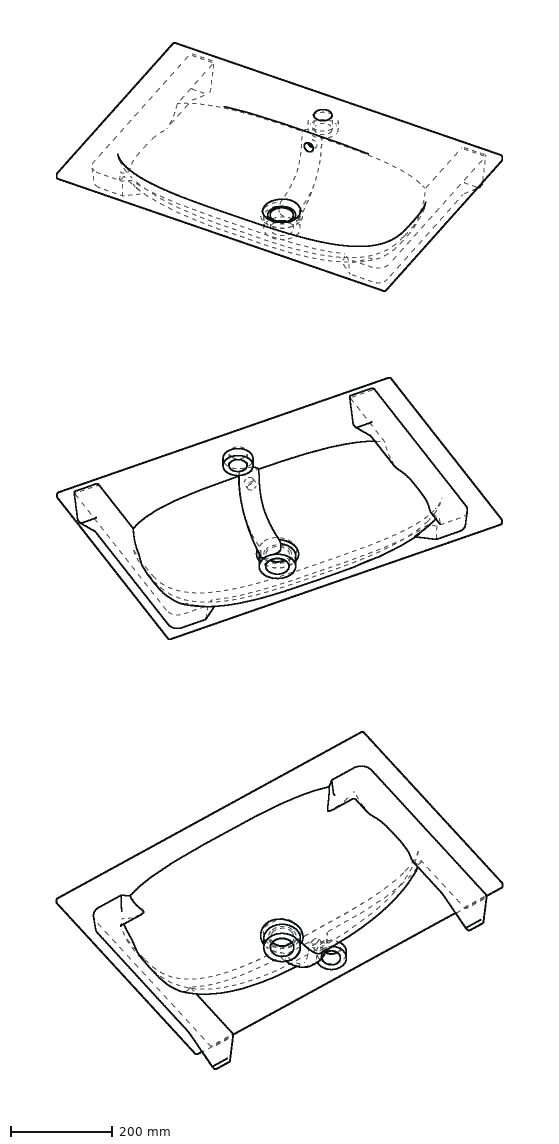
import cadquery as cq
import math


length = 743.0
width = 479.0
deck_thickness = 15.5
deck_corner_radius = 4.0
deck_top_fillet = 5.0
deck_bottom_fillet = 4.5
back_y = width / 2

height = 168.0
drain_y = 9.0
drain_hole_diameter = 46.0
drain_boss_diameter = 72.0
drain_flare = 4.5
drain_seat_diameter = 77.0
drain_seat_floor_diameter = 55.0
drain_seat_depth = 12.0
drain_seat_clearance = 2.0
tap_hole_y = 177.0
tap_hole_diameter = 36.0
tap_boss_diameter = 59.5
tap_boss_bottom_z = -34.0

bowl_depth = 135.0
bowl_side_reach = 327.0
bowl_front_reach = 203.5
bowl_back_reach = 121.0
bowl_wall = 10.0
rim_fillet = 4.5
rim_exponent = 3.2
floor_exponent = 2.0
front_exponent = 1.9
back_exponent = 3.0
bowl_section_count = 8
bowl_last_angle = 84.5
section_point_count = 32

skirt_half_length = 333.5
skirt_front_y = -181.0
skirt_wall = 54.0
skirt_front_wall = 41.0
skirt_corner_radius = 25.0
skirt_front_end_x = 255.0
skirt_front_end_run = 52.0
skirt_draft = 6.0
skirt_bottom_z = -58.0
skirt_edge_fillet = 4.5
foot_bottom_z = -93.5
foot_flat = 12.0
foot_slope_run = 73.0
foot_blend_radius = 30.0

duct_width = 44.5
duct_edge_fillet = 18.0
duct_top_y = 144.0
duct_middle_y = 113.0
duct_middle_z = -119.0
overflow_hole_diameter = 20.0
overflow_hole_z = -41.0
overflow_hole_depth = 22.0

margin = 1.0


def cylinder(diameter, y, bottom_z, top_z):
    return cq.Workplane("XY", origin=(0, y, bottom_z)).circle(diameter / 2).extrude(top_z - bottom_z)


def make_deck():
    deck = cq.Workplane("XY").box(length, width, deck_thickness, centered=(True, True, False))
    deck = deck.translate((0, 0, -deck_thickness)).edges("|Z").fillet(deck_corner_radius)
    deck = deck.faces(">Z").edges().fillet(deck_top_fillet)
    return deck.faces("<Z").edges().fillet(deck_bottom_fillet)


def bowl_section(angle, inset):
    """Closed superellipse at one level; angle runs from 0 at the rim towards 90 degrees at the floor."""
    spread = math.cos(angle)
    sink = math.sin(angle)
    half_x = (bowl_side_reach - inset) * spread
    front_spread = (1 - sink ** front_exponent) ** (1 / front_exponent)
    front_y = drain_y - (bowl_front_reach - inset) * front_spread
    back_spread = (1 - sink ** back_exponent) ** (1 / back_exponent)
    rear_y = drain_y + (bowl_back_reach - inset) * back_spread
    middle_y = (front_y + rear_y) / 2
    half_y = (rear_y - front_y) / 2
    exponent = floor_exponent + (rim_exponent - floor_exponent) * spread
    points = []
    for i in range(section_point_count):
        turn = 2 * math.pi * i / section_point_count
        across = math.cos(turn)
        along = math.sin(turn)
        radius = (abs(across) ** exponent + abs(along) ** exponent) ** (-1 / exponent)
        points.append(cq.Vector(half_x * radius * across, middle_y + half_y * radius * along,
                                -(bowl_depth - inset) * sink))
    return cq.Wire.assembleEdges([cq.Edge.makeSpline(points, periodic=True)])


def bowl_solid(inset):
    last_angle = math.radians(bowl_last_angle)
    sections = []
    for i in range(bowl_section_count):
        sections.append(bowl_section(last_angle * i / (bowl_section_count - 1), inset))
    return cq.Workplane(cq.Solid.makeLoft(sections))


def make_skirt():
    """Right-hand skirt wall: drafted L in plan, trimmed below to the foot and the level edge."""
    inner_x = skirt_half_length - skirt_wall
    inner_front_y = skirt_front_y + skirt_front_wall
    beyond_back_y = back_y + skirt_wall
    diagonal = math.sqrt(0.5)
    corner_x = skirt_half_length - skirt_corner_radius
    corner_y = skirt_front_y + skirt_corner_radius
    wall = (
        cq.Workplane("XY", origin=(0, 0, -deck_thickness))
        .moveTo(inner_x, beyond_back_y)
        .lineTo(inner_x, inner_front_y)
        .lineTo(skirt_front_end_x - skirt_front_end_run, inner_front_y)
        .lineTo(skirt_front_end_x, skirt_front_y)
        .lineTo(corner_x, skirt_front_y)
        .threePointArc(
            (corner_x + skirt_corner_radius * diagonal, corner_y - skirt_corner_radius * diagonal),
            (skirt_half_length, corner_y),
        )
        .lineTo(skirt_half_length, beyond_back_y)
        .close()
        .extrude(foot_bottom_z + deck_thickness, taper=skirt_draft)
    )
    profile = (
        cq.Workplane("YZ")
        .moveTo(back_y, -deck_thickness)
        .lineTo(back_y, foot_bottom_z)
        .lineTo(back_y - foot_flat, foot_bottom_z)
        .lineTo(back_y - foot_flat - foot_slope_run, skirt_bottom_z)
        .lineTo(-back_y, skirt_bottom_z)
        .lineTo(-back_y, -deck_thickness)
        .close()
        .extrude(length / 2)
    )
    slope_top = cq.selectors.NearestToPointSelector(
        (length / 4, back_y - foot_flat - foot_slope_run, skirt_bottom_z)
    )
    wall = wall.intersect(profile.edges(slope_top).fillet(foot_blend_radius))
    lowest = foot_bottom_z - margin
    lower_edges = cq.selectors.BoxSelector(
        (0, -back_y, lowest), (length, back_y + margin, skirt_bottom_z + margin)
    )
    back_edges = cq.selectors.BoxSelector(
        (0, back_y - margin, lowest), (length, back_y + margin, -deck_thickness - margin)
    )
    foot_underside = cq.selectors.BoxSelector(
        (0, 0, lowest), (length, back_y - margin, skirt_bottom_z + margin)
    )
    foot_creases = foot_underside & cq.selectors.ParallelDirSelector(cq.Vector(1, 0, 0))
    return wall.edges((lower_edges + back_edges) - foot_creases).fillet(skirt_edge_fillet)


def make_duct():
    """Overflow duct curving down the back of the bowl to the foot of the drain."""
    drain_back_y = drain_y + drain_boss_diameter / 2
    hole_back_y = drain_y + drain_hole_diameter / 2
    top_z = -bowl_depth + bowl_wall
    duct = (
        cq.Workplane("YZ", origin=(-duct_width / 2, 0, 0))
        .moveTo(drain_back_y, top_z)
        .lineTo(hole_back_y, top_z)
        .lineTo(hole_back_y, -height)
        .lineTo(drain_back_y, -height)
        .threePointArc((duct_middle_y, duct_middle_z), (duct_top_y, -deck_thickness))
        .lineTo(drain_back_y, -deck_thickness)
        .close()
        .extrude(duct_width)
    )
    return duct.edges("%CIRCLE").fillet(duct_edge_fillet)


def make_drain_boss():
    boss = cylinder(drain_boss_diameter, drain_y, -height, -bowl_depth + bowl_wall)
    cone_height = 2 * drain_flare
    flare = cq.Solid.makeCone(
        drain_boss_diameter / 2, drain_boss_diameter / 2 + cone_height, cone_height,
        pnt=cq.Vector(0, drain_y, -bowl_depth - drain_flare),
    )
    return boss.union(cq.Workplane(flare))


def make_drain_opening():
    seat_top_z = -bowl_depth + bowl_wall + drain_seat_clearance
    seat = cq.Solid.makeCone(
        drain_seat_floor_diameter / 2, drain_seat_diameter / 2, drain_seat_depth,
        pnt=cq.Vector(0, drain_y, seat_top_z - drain_seat_depth),
    )
    return cylinder(drain_hole_diameter, drain_y, -height, seat_top_z).union(cq.Workplane(seat))


def make_overflow_hole():
    start_y = drain_y + bowl_back_reach - 2 * bowl_wall
    return (
        cq.Workplane("XZ", origin=(0, start_y, overflow_hole_z))
        .circle(overflow_hole_diameter / 2)
        .extrude(-overflow_hole_depth)
    )


skirt = make_skirt()
body = make_deck().union(skirt).union(skirt.mirror("YZ"))
tap_boss = cylinder(tap_boss_diameter, tap_hole_y, tap_boss_bottom_z, -deck_thickness)
body = body.union(tap_boss).union(make_duct()).union(make_drain_boss()).union(bowl_solid(0))

body = body.cut(bowl_solid(bowl_wall))
rim = cq.selectors.BoxSelector(
    (-bowl_side_reach, -bowl_front_reach, -margin), (bowl_side_reach, bowl_back_reach + drain_y, margin)
)
body = body.edges(rim).fillet(rim_fillet)

body = body.cut(make_drain_opening())
body = body.cut(make_overflow_hole())
result = body.cut(cylinder(tap_hole_diameter, tap_hole_y, tap_boss_bottom_z, 0))